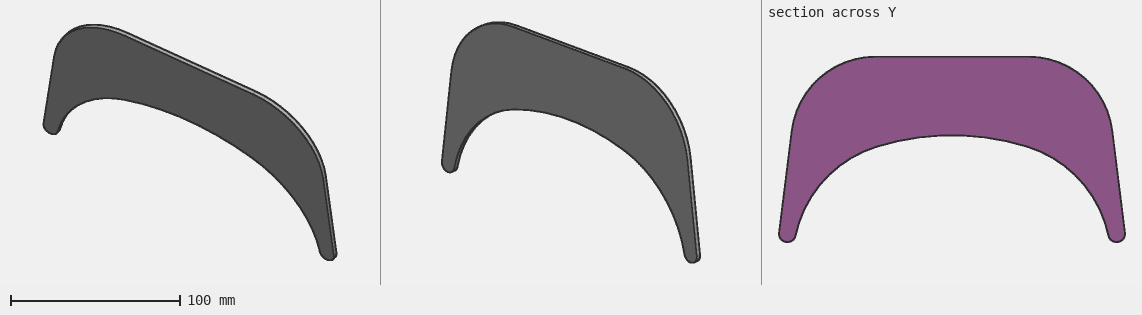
import cadquery as cq
import math

width = 204.29
height = 109.53
thickness = 3.0
top_flat_length = 90.0
shoulder_radius = 50.0
tip_radius = 5.0
crown_height = 46.5
crown_radius = 150.0
haunch_radius = 70.0

shoulder_center = (top_flat_length / 2, -shoulder_radius)
tip_center = (width / 2 - tip_radius, tip_radius - height)
crown_center = (0.0, -crown_height - crown_radius)


def offset(point, distance, angle):
    """Point at a distance from another, the angle measured from +X towards +Z."""
    return (point[0] + distance * math.cos(angle), point[1] + distance * math.sin(angle))


def direction(start, end):
    """Distance and angle from one point to another."""
    dx = end[0] - start[0]
    dz = end[1] - start[1]
    return math.hypot(dx, dz), math.atan2(dz, dx)


def mirrored(point):
    return (-point[0], point[1])


def outer_side_angle():
    """Angle of the normal of the straight side tangent to the shoulder and tip arcs."""
    distance, angle = direction(shoulder_center, tip_center)
    return angle + math.acos((shoulder_radius - tip_radius) / distance)


def haunch_center_point():
    """Centre of the arc tangent to the crown arc and to the tip arc."""
    crown_gap = crown_radius - haunch_radius
    tip_gap = haunch_radius + tip_radius
    distance, angle = direction(crown_center, tip_center)
    cosine = (crown_gap**2 + distance**2 - tip_gap**2) / (2 * crown_gap * distance)
    return offset(crown_center, crown_gap, angle + math.acos(cosine))


def make_plate():
    side_angle = outer_side_angle()
    haunch_center = haunch_center_point()
    crown_end_angle = direction(crown_center, haunch_center)[1]
    haunch_end_angle = direction(haunch_center, tip_center)[1]

    top_end = (top_flat_length / 2, 0.0)
    shoulder_mid = offset(shoulder_center, shoulder_radius, (math.pi / 2 + side_angle) / 2)
    side_top = offset(shoulder_center, shoulder_radius, side_angle)
    side_bottom = offset(tip_center, tip_radius, side_angle)
    tip_bottom = offset(tip_center, tip_radius, -math.pi / 2)
    tip_inner = offset(haunch_center, haunch_radius, haunch_end_angle)
    haunch_mid = offset(haunch_center, haunch_radius, (haunch_end_angle + crown_end_angle) / 2)
    crown_end = offset(crown_center, crown_radius, crown_end_angle)
    crown_top = (0.0, -crown_height)

    outline = (
        cq.Workplane("XZ")
        .moveTo(*mirrored(top_end))
        .lineTo(*top_end)
        .threePointArc(shoulder_mid, side_top)
        .lineTo(*side_bottom)
        .threePointArc(tip_bottom, tip_inner)
        .threePointArc(haunch_mid, crown_end)
        .threePointArc(crown_top, mirrored(crown_end))
        .threePointArc(mirrored(haunch_mid), mirrored(tip_inner))
        .threePointArc(mirrored(tip_bottom), mirrored(side_bottom))
        .lineTo(*mirrored(side_top))
        .threePointArc(mirrored(shoulder_mid), mirrored(top_end))
        .close()
    )
    return outline.extrude(thickness / 2, both=True)


result = make_plate()